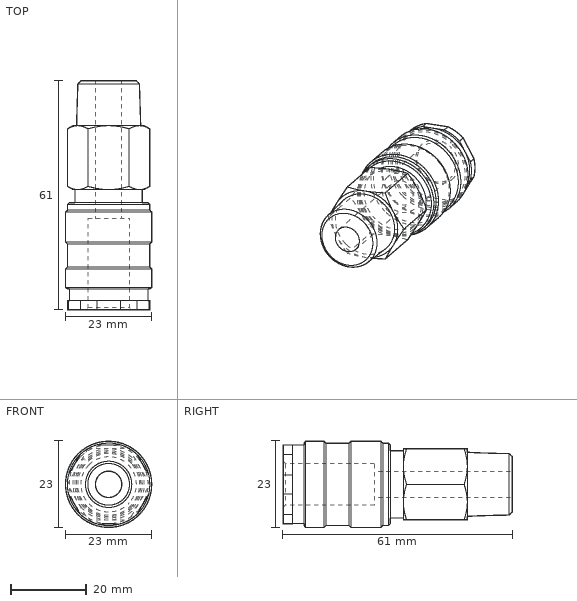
import cadquery as cq
import math

length = 61.0

collar_end = 2.5
front_band_start, front_band_end = 5.6, 11.4
rear_band_start, rear_band_end = 17.55, 26.55
sleeve_end = 28.55
hex_start, hex_end = 32.0, 49.05

neck_radius = 10.5
sleeve_radius = 11.0
band_radius = 23.0 / 2
rear_neck_radius = 8.95
band_chamfer = 0.5
front_lip_chamfer = 0.35

collar_across_flats = 21.05
hex_across_flats = 19.0
hex_chamfer_angle = 30.0

thread_root_radius = 17.15 / 2
thread_taper = 1 / 32
tip_chamfer = 0.85

socket_radius = 5.55
socket_depth = 24.4
socket_chamfer = 0.6
passage_radius = 3.5


def revolve_profile(points):
    """Turn a profile of (radius, y) points about the Y axis, closed along the axis."""
    first_y, last_y = points[0][1], points[-1][1]
    outline = [(0, first_y), *points, (0, last_y)]
    return cq.Workplane("XY").polyline(outline).close().revolve(360, (0, 0), (0, 1))


def hex_prism(across_flats, start, end):
    """Hexagonal prism along Y with corners on the X axis and flats facing Z."""
    across_corners = across_flats / math.cos(math.radians(30))
    plane = cq.Workplane("XZ", origin=(0, start, 0))
    return plane.polygon(6, across_corners).extrude(start - end)


def thread_radius(y):
    return thread_root_radius - thread_taper * (y - hex_end)


def make_collar():
    disc = revolve_profile([(sleeve_radius, 0), (sleeve_radius, collar_end)])
    return disc.intersect(hex_prism(collar_across_flats, 0, collar_end))


def make_sleeve():
    return revolve_profile([
        (neck_radius, collar_end),
        (neck_radius, front_band_start),
        (sleeve_radius, front_band_start),
        (band_radius, front_band_start + front_lip_chamfer),
        (band_radius, front_band_end - band_chamfer),
        (sleeve_radius, front_band_end),
        (sleeve_radius, rear_band_start),
        (band_radius, rear_band_start + band_chamfer),
        (band_radius, rear_band_end - band_chamfer),
        (sleeve_radius, rear_band_end),
        (sleeve_radius, sleeve_end - band_chamfer),
        (sleeve_radius - band_chamfer, sleeve_end),
        (rear_neck_radius, sleeve_end),
        (rear_neck_radius, hex_start),
    ])


def make_hex():
    flat_radius = hex_across_flats / 2
    corner_radius = flat_radius / math.cos(math.radians(30))
    chamfer_depth = (corner_radius - flat_radius) * math.tan(math.radians(hex_chamfer_angle))
    chamfer_envelope = revolve_profile([
        (flat_radius, hex_start),
        (corner_radius, hex_start + chamfer_depth),
        (corner_radius, hex_end - chamfer_depth),
        (flat_radius, hex_end),
    ])
    return hex_prism(hex_across_flats, hex_start, hex_end).intersect(chamfer_envelope)


def make_thread():
    tip_start = length - tip_chamfer
    return revolve_profile([
        (thread_root_radius, hex_end),
        (thread_radius(tip_start), tip_start),
        (thread_radius(tip_start) - tip_chamfer, length),
    ])


def make_bores():
    return revolve_profile([
        (socket_radius + socket_chamfer, 0),
        (socket_radius, socket_chamfer),
        (socket_radius, socket_depth),
        (passage_radius, socket_depth),
        (passage_radius, length),
    ])


result = make_collar().union(make_sleeve()).union(make_hex()).union(make_thread()).cut(make_bores())